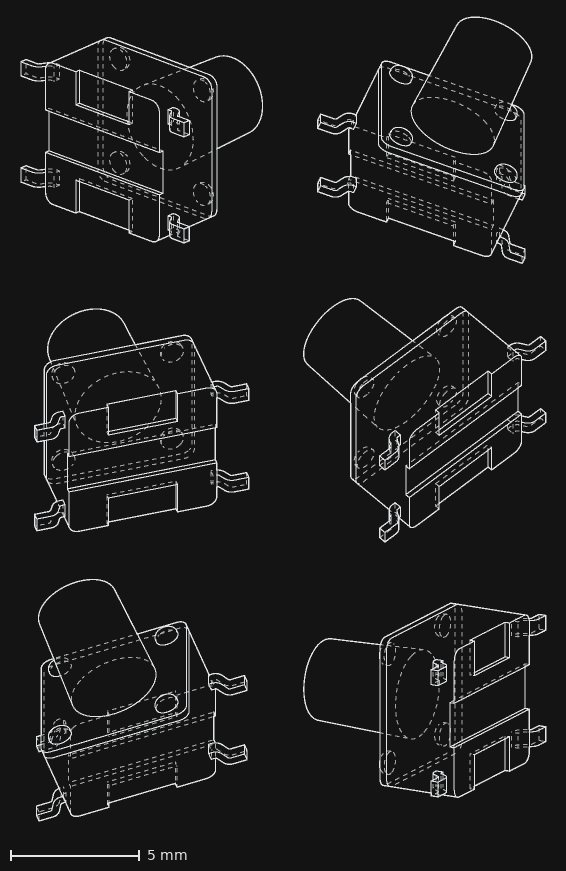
import cadquery as cq
import math


LEAD_SPAN = 8.6
TOTAL_HEIGHT = 7.5

CASE_SIDE = 6.0
CASE_CORNER_RADIUS = 0.4
CASE_HEIGHT = 3.3
COVER_THICKNESS = 0.3
BASE_HEIGHT = CASE_HEIGHT - COVER_THICKNESS

RECESS_DEPTH = 0.2
GROOVE_WIDTH = 1.8
POCKET_WIDTH = 2.8
POCKET_REACH = 1.4

BUTTON_DIAMETER = 3.5
BUTTON_DRAFT = 2.0
BUTTON_TIP_FILLET = 0.1
BUTTON_LENGTH = TOTAL_HEIGHT - CASE_HEIGHT

RIVET_DIAMETER = 0.9
RIVET_HEIGHT = 0.29
RIVET_FILLET = 0.2
RIVET_OFFSET = 2.2

LEAD_THICKNESS = 0.3
LEAD_WIDTH = 0.6
LEAD_OFFSET = 2.25
LEAD_RISE = 0.5
LEAD_INNER_RADIUS = 0.1
LEAD_OUTER_RADIUS = LEAD_INNER_RADIUS + LEAD_THICKNESS
LEAD_BEND_ANGLE = 60.0
FOOT_LENGTH = 0.58

SIDES = (-1, 1)


def plane_at_height(y):
    """Plane facing +Y at height y: local x is +X and local y is -Z."""
    return cq.Workplane(cq.Plane(origin=(0, y, 0), xDir=(1, 0, 0), normal=(0, 1, 0)))


def case_block(y, height):
    """Square block with rounded corners that rises from height y."""
    block = plane_at_height(y).rect(CASE_SIDE, CASE_SIDE).extrude(height)
    return block.edges("|Y").fillet(CASE_CORNER_RADIUS)


def make_base():
    """Base with a groove and two edge pockets in its mounting face."""
    groove = plane_at_height(0).rect(CASE_SIDE, GROOVE_WIDTH).extrude(RECESS_DEPTH)
    base = case_block(0, BASE_HEIGHT).cut(groove)
    pocket_centre = (CASE_SIDE - POCKET_REACH) / 2
    for side in SIDES:
        pocket = (
            plane_at_height(0)
            .center(0, side * pocket_centre)
            .rect(POCKET_WIDTH, POCKET_REACH)
            .extrude(RECESS_DEPTH)
        )
        base = base.cut(pocket)
    return base


def make_button():
    """Tapered round button with a softened tip."""
    button = (
        plane_at_height(CASE_HEIGHT)
        .circle(BUTTON_DIAMETER / 2)
        .extrude(BUTTON_LENGTH, taper=BUTTON_DRAFT)
    )
    return button.faces(">Y").edges().fillet(BUTTON_TIP_FILLET)


def make_rivet_heads():
    """Four rounded rivet heads around the button."""
    heads = (
        plane_at_height(CASE_HEIGHT)
        .rect(2 * RIVET_OFFSET, 2 * RIVET_OFFSET, forConstruction=True)
        .vertices()
        .circle(RIVET_DIAMETER / 2)
        .extrude(RIVET_HEIGHT)
    )
    return heads.faces(">Y").edges().fillet(RIVET_FILLET)


def make_cover():
    """Cover plate carrying the button and the rivet heads."""
    plate = case_block(BASE_HEIGHT, COVER_THICKNESS)
    return plate.union(make_button()).union(make_rivet_heads())


def arc_point(centre, radius, degrees):
    """Point on an arc, with the angle measured from +X towards +Y."""
    angle = math.radians(degrees)
    return (centre[0] + radius * math.cos(angle), centre[1] + radius * math.sin(angle))


def make_lead(side_x, side_z):
    """Gull-wing lead that touches the base wall, mirrored to the given X side."""
    tip = -LEAD_SPAN / 2
    wall = -CASE_SIDE / 2
    foot_end = tip + FOOT_LENGTH
    shoulder_top = LEAD_RISE + LEAD_THICKNESS

    angle = math.radians(LEAD_BEND_ANGLE)
    radius_sum = LEAD_INNER_RADIUS + LEAD_OUTER_RADIUS
    slope_rise = LEAD_RISE - radius_sum * (1 - math.cos(angle))
    bend_run = radius_sum * math.sin(angle) + slope_rise / math.tan(angle)
    shoulder_start = foot_end + bend_run

    low = (foot_end, LEAD_OUTER_RADIUS)
    high = (shoulder_start, shoulder_top - LEAD_OUTER_RADIUS)
    low_mid = -90 + LEAD_BEND_ANGLE / 2
    low_end = -90 + LEAD_BEND_ANGLE
    high_mid = 90 + LEAD_BEND_ANGLE / 2
    high_end = 90 + LEAD_BEND_ANGLE

    profile = (
        cq.Workplane("XY", origin=(0, 0, side_z * LEAD_OFFSET))
        .moveTo(tip, 0)
        .lineTo(foot_end, 0)
        .threePointArc(
            arc_point(low, LEAD_OUTER_RADIUS, low_mid),
            arc_point(low, LEAD_OUTER_RADIUS, low_end),
        )
        .lineTo(*arc_point(high, LEAD_INNER_RADIUS, high_end))
        .threePointArc(
            arc_point(high, LEAD_INNER_RADIUS, high_mid),
            (shoulder_start, LEAD_RISE),
        )
        .lineTo(wall, LEAD_RISE)
        .lineTo(wall, shoulder_top)
        .lineTo(shoulder_start, shoulder_top)
        .threePointArc(
            arc_point(high, LEAD_OUTER_RADIUS, high_mid),
            arc_point(high, LEAD_OUTER_RADIUS, high_end),
        )
        .lineTo(*arc_point(low, LEAD_INNER_RADIUS, low_end))
        .threePointArc(
            arc_point(low, LEAD_INNER_RADIUS, low_mid),
            (foot_end, LEAD_THICKNESS),
        )
        .lineTo(tip, LEAD_THICKNESS)
        .close()
    )
    lead = profile.extrude(LEAD_WIDTH / 2, both=True)
    if side_x > 0:
        lead = lead.mirror("YZ")
    return lead


base = make_base()
cover = make_cover()
leads = [make_lead(side_x, side_z).val() for side_x in SIDES for side_z in SIDES]

result = cq.Compound.makeCompound([base.val(), cover.val(), *leads])